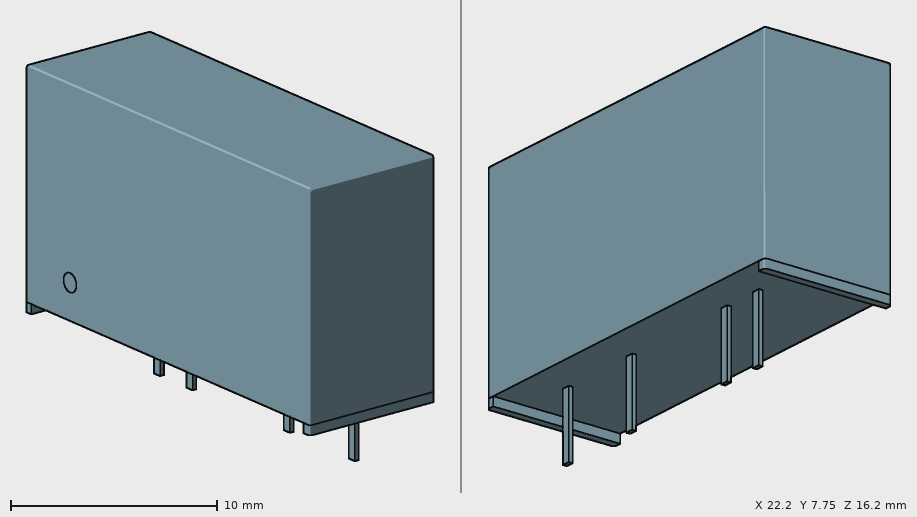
import cadquery as cq

LENGTH = 22.25
DEPTH = 7.75
TOTAL_HEIGHT = 16.25
EDGE_RADIUS = 0.18

PIN_LENGTH = 4.0
PIN_WIDTH = 0.5
PIN_THICKNESS = 0.25
PIN_PITCH = 2.54
PIN_Y = 1.62
PIN_STEPS = (-3, -2, 1, 3)

FOOT_WIDTH = 0.5
FOOT_HEIGHT = 0.53

DOT_DIAMETER = 1.0
DOT_DEPTH = 0.1
DOT_Z = 1.98

HOUSING_HEIGHT = TOTAL_HEIGHT - PIN_LENGTH
FRONT_Y = -DEPTH / 2
FIRST_PIN_X = PIN_STEPS[0] * PIN_PITCH


def make_marker_dot():
    """Round pin-one marker, flush with the front face above the first pin."""
    front_plane = cq.Plane(origin=(FIRST_PIN_X, FRONT_Y, DOT_Z), xDir=(1, 0, 0), normal=(0, -1, 0))
    return cq.Workplane(front_plane).circle(DOT_DIAMETER / 2).extrude(-DOT_DEPTH)


def make_housing(marker_dot):
    """Block with rounded upright and top edges, and a recess for the marker dot."""
    block = cq.Workplane("XY").box(LENGTH, DEPTH, HOUSING_HEIGHT, centered=(True, True, False))
    return block.edges("|Z or >Z").fillet(EDGE_RADIUS).cut(marker_dot)


def make_foot(side):
    """Standoff strip under one end of the housing; side is -1 or 1 along X."""
    strip = cq.Workplane("XY").box(FOOT_WIDTH, DEPTH, FOOT_HEIGHT, centered=(True, True, False))
    outer_edges = "|Z and >X" if side > 0 else "|Z and <X"
    rounded = strip.edges(outer_edges).fillet(EDGE_RADIUS)
    return rounded.translate((side * (LENGTH - FOOT_WIDTH) / 2, 0, -FOOT_HEIGHT))


def make_pin(x):
    """Flat pin hanging from the housing underside."""
    blade = cq.Workplane("XY").box(PIN_WIDTH, PIN_THICKNESS, PIN_LENGTH, centered=(True, True, False))
    return blade.translate((x, PIN_Y, -PIN_LENGTH))


dot = make_marker_dot()
housing = make_housing(dot)
feet = [make_foot(side) for side in (-1, 1)]
pins = [make_pin(step * PIN_PITCH) for step in PIN_STEPS]

result = cq.Compound.makeCompound(
    [housing.val(), dot.val()]
    + [foot.val() for foot in feet]
    + [pin.val() for pin in pins]
)